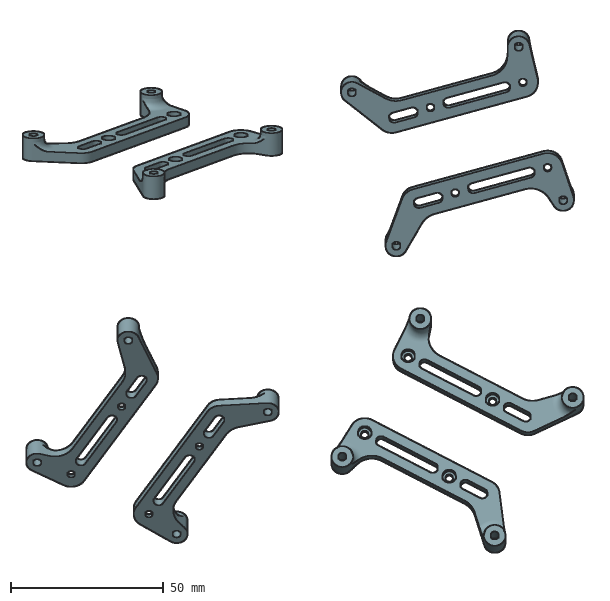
import cadquery as cq
import math

overall_width = 61.1
overall_length = 64.1

plate_thickness = 3.6
boss_height = 8.0

boss_radius = 3.6
boss_hole_diameter = 2.7
boss_x = overall_width / 2 - boss_radius
boss_y = overall_length / 2 - boss_radius
boss_fillet_radius = 3.0

bar_x = 15.0
bar_half_width = 5.0
elbow_radius = boss_x - bar_x - bar_half_width
upper_elbow_y = 17.45
lower_elbow_y = -13.45
lower_corner_y = -18.2

screw_ys = (26.55, -5.0)
screw_diameter = 2.5
counterbore_diameter = 4.5
counterbore_depth = 2.0

slot_width = 3.4
long_slot = (-0.6, 22.1)
short_slot = (-19.1, -9.35)

boss_centers = [(-boss_x, -boss_y), (-boss_x, boss_y)]

outline_arcs = [
    (boss_centers[0], boss_radius),
    ((-bar_x, lower_corner_y), bar_half_width),
    ((-bar_x, screw_ys[0]), bar_half_width),
    (boss_centers[1], boss_radius),
    ((-boss_x, upper_elbow_y), -elbow_radius),
    ((-boss_x, lower_elbow_y), -elbow_radius),
]


def tangent_normal(start_arc, end_arc):
    """Outward unit normal of the straight edge tangent to two outline arcs."""
    (start_x, start_y), start_radius = start_arc
    (end_x, end_y), end_radius = end_arc
    dx = end_x - start_x
    dy = end_y - start_y
    angle = math.atan2(dy, dx) - math.acos((start_radius - end_radius) / math.hypot(dx, dy))
    return math.cos(angle), math.sin(angle)


def point_on_arc(arc, normal):
    (x, y), radius = arc
    return x + radius * normal[0], y + radius * normal[1]


def bracket_outline(round_ends=True):
    """Closed outline of arcs joined by their tangent lines.

    Without round ends, the outline turns at each boss center instead of going around the boss.
    """
    count = len(outline_arcs)
    normals = [tangent_normal(outline_arcs[i], outline_arcs[(i + 1) % count]) for i in range(count)]
    outline = cq.Workplane("XY").moveTo(*point_on_arc(outline_arcs[0], normals[-1]))
    for i, arc in enumerate(outline_arcs):
        before = normals[i - 1]
        after = normals[i]
        length = math.hypot(before[0] + after[0], before[1] + after[1])
        middle = ((before[0] + after[0]) / length, (before[1] + after[1]) / length)
        if round_ends or arc[0] not in boss_centers:
            outline = outline.threePointArc(point_on_arc(arc, middle), point_on_arc(arc, after))
        else:
            outline = outline.lineTo(*arc[0]).lineTo(*point_on_arc(arc, after))
        if i < count - 1:
            outline = outline.lineTo(*point_on_arc(outline_arcs[i + 1], after))
    return outline.close()


def boss_flare(center):
    """Round foot that curves from the boss wall out to the plate top."""
    flare_top = plate_thickness + boss_fillet_radius
    flare_radius = boss_radius + boss_fillet_radius
    arc_offset = boss_fillet_radius * (1 - math.sqrt(0.5))
    profile = (
        cq.Workplane("XZ")
        .lineTo(flare_radius, 0)
        .lineTo(flare_radius, plate_thickness)
        .threePointArc((boss_radius + arc_offset, plate_thickness + arc_offset), (boss_radius, flare_top))
        .lineTo(0, flare_top)
        .close()
    )
    return profile.revolve(360, (0, 0, 0), (0, 1, 0)).translate((*center, 0))


def slot_cutter(lower_end, upper_end):
    return (
        cq.Workplane("XY")
        .center(-bar_x, (lower_end + upper_end) / 2)
        .slot2D(upper_end - lower_end, slot_width, 90)
        .extrude(plate_thickness)
    )


def screw_cutters():
    centers = [(-bar_x, y) for y in screw_ys]
    holes = cq.Workplane("XY").pushPoints(centers).circle(screw_diameter / 2).extrude(plate_thickness)
    counterbores = (
        cq.Workplane("XY", origin=(0, 0, plate_thickness - counterbore_depth))
        .pushPoints(centers)
        .circle(counterbore_diameter / 2)
        .extrude(counterbore_depth)
    )
    return holes.union(counterbores)


def make_bracket():
    """Left bracket: slotted bar with a raised boss at each end."""
    bracket = bracket_outline().extrude(plate_thickness)

    bosses = cq.Workplane("XY").pushPoints(boss_centers).circle(boss_radius).extrude(boss_height)
    bracket = bracket.union(bosses)

    flare_limits = bracket_outline(round_ends=False).extrude(boss_height)
    for center in boss_centers:
        bracket = bracket.union(boss_flare(center).intersect(flare_limits))

    boss_holes = cq.Workplane("XY").pushPoints(boss_centers).circle(boss_hole_diameter / 2).extrude(boss_height)
    bracket = bracket.cut(boss_holes)

    for lower_end, upper_end in (long_slot, short_slot):
        bracket = bracket.cut(slot_cutter(lower_end, upper_end))

    return bracket.cut(screw_cutters())


left_bracket = make_bracket()
right_bracket = left_bracket.mirror("YZ")

result = cq.Compound.makeCompound([*left_bracket.vals(), *right_bracket.vals()])